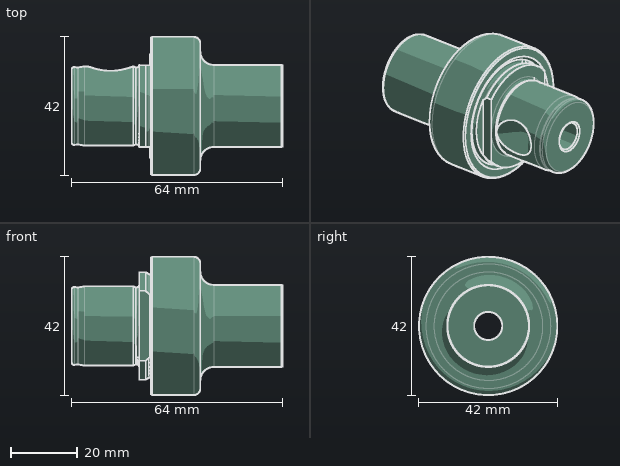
import cadquery as cq
import math

total_length = 64.0

bore_radius = 4.2
bore_chamfer = 0.5

journal_radius = 12.0
nose_radius = 11.85
end_round = 0.8
relief_radius = 11.7
relief_width = 0.25
front_relief_x = 1.7
taper_end = 3.85
journal_end = 18.7
rear_relief_x = 19.4

seat_x = 11.85
seat_mouth_radius = 6.85
seat_overrun = 1.3

flange_x = 20.5
flange_radius = 16.3
flange_rim_end = 22.4
root_radius = 12.7
flat_offset = 12.4
flat_end_x = 23.75
neck_x = 23.4
neck_radius = 15.75

spigot_radius = 16.8
pocket_floor_x = 32.0

collar_x = 23.95
collar_end_x = 39.05
collar_radius = 21.0
collar_chamfer = 0.45
collar_round = 2.1
pocket_chamfer_width = 1.15
pocket_chamfer_depth = 0.65
shank_radius = 12.5
shank_fillet = 4.0
shank_chamfer_length = 0.45
shank_chamfer_depth = 0.2

groove_floor_x = collar_x + pocket_chamfer_depth


def arc_midpoint(center_x, center_r, radius, angle):
    """Point on an arc in the X-radius plane, with the angle in degrees."""
    turn = math.radians(angle)
    return (center_x + radius * math.cos(turn), center_r + radius * math.sin(turn))


def revolve_about_x(profile):
    return profile.close().revolve(360, (0, 0, 0), (1, 0, 0))


def clamping_seat():
    """90 degree cone pointing at the axis from the +Y side."""
    apex_y = journal_radius - seat_mouth_radius
    height = seat_mouth_radius + seat_overrun
    cone = cq.Solid.makeCone(0, height, height, cq.Vector(seat_x, apex_y, 0), cq.Vector(0, 1, 0))
    return cq.Workplane(cone)


def wrench_flats():
    """Two blocks that cut the flange down to parallel flats at +Y and -Y."""
    length = flat_end_x - flange_x
    depth = flange_radius
    blocks = cq.Workplane("XY")
    for side in (1, -1):
        blocks = blocks.union(
            cq.Workplane("XY").box(length, depth, 2 * flange_radius).translate(
                (flange_x + length / 2, side * (flat_offset + depth / 2), 0)
            )
        )
    return blocks


def make_adapter():
    end_face_radius = nose_radius - end_round
    profile = (
        cq.Workplane("XY")
        .moveTo(0, bore_radius + bore_chamfer)
        .lineTo(0, end_face_radius)
        .threePointArc(arc_midpoint(end_round, end_face_radius, end_round, 135), (end_round, nose_radius))
        .lineTo(front_relief_x, relief_radius)
        .lineTo(front_relief_x + relief_width, relief_radius)
        .lineTo(taper_end, journal_radius)
        .lineTo(journal_end, journal_radius)
        .lineTo(rear_relief_x, relief_radius)
        .lineTo(rear_relief_x + relief_width, relief_radius)
        .tangentArcPoint((flange_x, root_radius), relative=False)
        .lineTo(flange_x, flange_radius)
        .lineTo(flange_rim_end, flange_radius)
        .lineTo(neck_x, neck_radius)
        .tangentArcPoint((groove_floor_x, spigot_radius), relative=False)
        .lineTo(pocket_floor_x, spigot_radius)
        .lineTo(pocket_floor_x, bore_radius)
        .lineTo(bore_chamfer, bore_radius)
    )
    return revolve_about_x(profile).cut(clamping_seat()).cut(wrench_flats())


def make_housing():
    round_center_r = collar_radius - collar_round
    fillet_center = (collar_end_x + shank_fillet, shank_radius + shank_fillet)
    profile = (
        cq.Workplane("XY")
        .moveTo(collar_x, spigot_radius + pocket_chamfer_width)
        .lineTo(collar_x, collar_radius - collar_chamfer)
        .lineTo(collar_x + collar_chamfer, collar_radius)
        .lineTo(collar_end_x - collar_round, collar_radius)
        .threePointArc(
            arc_midpoint(collar_end_x - collar_round, round_center_r, collar_round, 45),
            (collar_end_x, round_center_r),
        )
        .lineTo(collar_end_x, fillet_center[1])
        .threePointArc(arc_midpoint(*fillet_center, shank_fillet, 225), (fillet_center[0], shank_radius))
        .lineTo(total_length - shank_chamfer_length, shank_radius)
        .lineTo(total_length, shank_radius - shank_chamfer_depth)
        .lineTo(total_length, bore_radius)
        .lineTo(pocket_floor_x, bore_radius)
        .lineTo(pocket_floor_x, spigot_radius)
        .lineTo(groove_floor_x, spigot_radius)
    )
    return revolve_about_x(profile)


adapter = make_adapter()
housing = make_housing()

result = cq.Compound.makeCompound([adapter.val(), housing.val()])